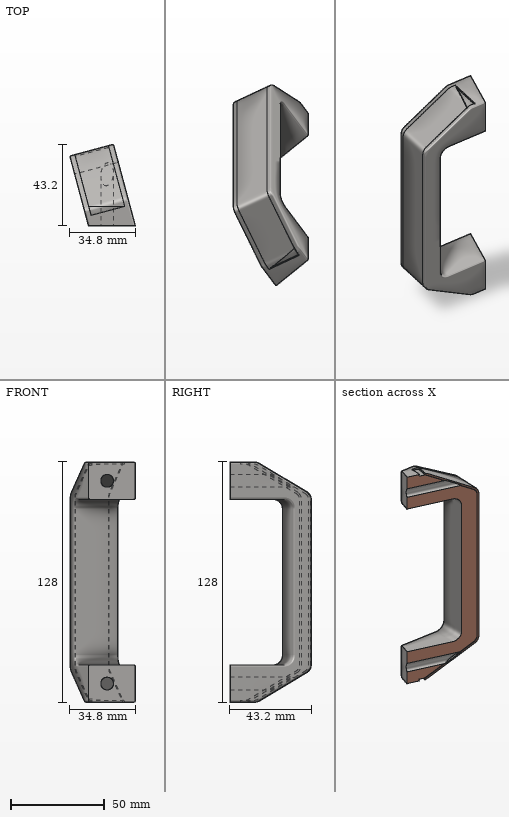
import cadquery as cq
import math

height = 128.0
width = 24.2
lean_angle = 15.0
reach = 38.5
grip_thickness = 10.0
foot_height = 20.0
foot_straight = 8.7
slope_angle = 30.0
leg_overrun = 1.3
bend_radius = 5.0
edge_radius = 1.0

cover_thickness = 1.0
cover_margin = 2.8
recess_start = 5.0

hole_diameter = 6.8
hole_from_left = 10.0
hole_from_end = foot_height / 2

lean_radians = math.radians(lean_angle)
lean_slope = math.tan(lean_radians)
leg_start = -width * lean_slope - leg_overrun
half_height = height / 2
cover_width = width - 2 * cover_margin
recess_right = width - cover_margin
cover_end = recess_right * math.sin(lean_radians) + recess_start * math.cos(lean_radians)


def lean(body):
    """Lean a body sideways about the vertical line through the left front corner."""
    return body.rotate((0, 0, 0), (0, 0, 1), lean_angle)


def space_in_front_of(y):
    """Block filling everything in front of the plane at y."""
    size = 2 * height
    return cq.Workplane("XY").box(size, size, size).translate((0, y - size / 2, 0))


def outer_block(inset, block_width, left):
    """Outside shape of the handle, offset inward by inset, without the grip opening."""
    top = half_height - inset
    back = reach - inset
    half_slope = math.radians(slope_angle / 2)
    slope_start = foot_straight - inset * math.tan(half_slope)
    slope_end_z = top - (back - slope_start) * math.tan(math.radians(slope_angle))
    block = (
        cq.Workplane("YZ", origin=(left, 0, 0))
        .polyline([
            (leg_start, -top),
            (slope_start, -top),
            (back, -slope_end_z),
            (back, slope_end_z),
            (slope_start, top),
            (leg_start, top),
        ])
        .close()
        .extrude(block_width)
    )
    bends = block.edges("|X").edges("not(<Y)")
    return bends.fillet(bend_radius - inset)


def grip_opening():
    """Finger space between the two legs."""
    depth = reach - grip_thickness - leg_start
    return (
        cq.Workplane("XY")
        .box(width, depth, height - 2 * foot_height, centered=(False, False, True))
        .translate((0, leg_start, 0))
        .edges("|X and >Y")
        .fillet(bend_radius)
    )


def cover_layer():
    """Thin layer along the outside of the handle, ending square on both feet."""
    layer = outer_block(0, cover_width, cover_margin)
    layer = layer.cut(outer_block(cover_thickness, cover_width, cover_margin))
    return layer.cut(space_in_front_of(recess_start))


def screw_holes():
    """Holes square to the mounting plane, running out into the recess under the cover."""
    hole_z = half_height - hole_from_end
    return (
        cq.Workplane("XZ")
        .pushPoints([(hole_from_left, -hole_z), (hole_from_left, hole_z)])
        .circle(hole_diameter / 2)
        .extrude(-height)
    )


def make_handle():
    """Leaning C-shaped body with rounded edges, cover recess and screw holes."""
    body = outer_block(0, width, 0).cut(grip_opening())
    body = body.faces("<X or >X").edges("not(<Y)").fillet(edge_radius)
    body = lean(body.cut(cover_layer()))
    return body.cut(space_in_front_of(0)).cut(screw_holes())


def make_cover():
    """Strip filling the recess, with ends cut parallel to the mounting plane."""
    return lean(cover_layer()).cut(space_in_front_of(cover_end))


handle = make_handle()
cover = make_cover()

result = cq.Compound.makeCompound([handle.val(), cover.val()])